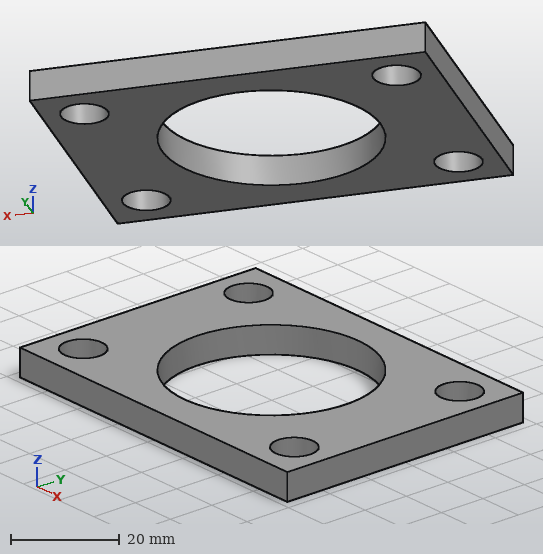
import cadquery as cq

length = 76.0
width = 57.0
thickness = 6.0

bore_diameter = 42.0
bolt_hole_diameter = 9.0
bolt_spacing_x = 60.0
bolt_spacing_y = 40.0

plate = cq.Workplane("XY").box(length, width, thickness)

bored_plate = plate.faces(">Z").workplane().hole(bore_diameter)

result = (
    bored_plate.faces(">Z")
    .workplane(origin=(0, 0, 0))
    .rect(bolt_spacing_x, bolt_spacing_y, forConstruction=True)
    .vertices()
    .hole(bolt_hole_diameter)
)